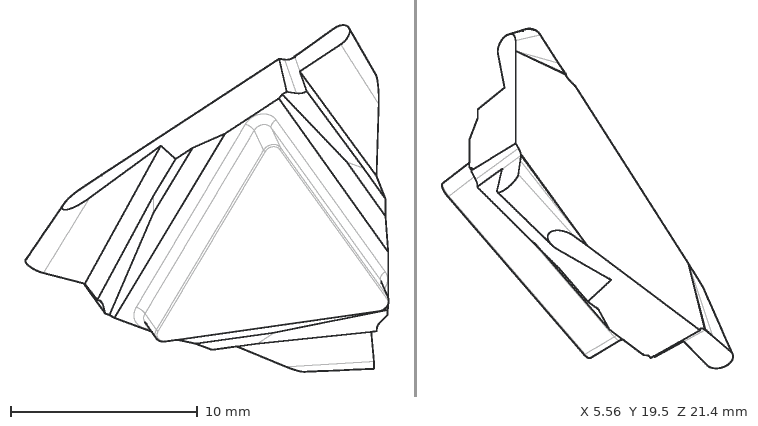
import cadquery as cq
import math


CORNER_ANGLES = (60, 180, 300)
CLOSE = 0.01
OVERSHOOT = 1.0
FAR = 20.0

INRADIUS = 7.09
BODY_THICKNESS = 3.14
CORNER_LEAN = 0.116

BOSS_INRADIUS = 4.06
BOSS_ANGLE = 90
BOSS_TOP = 5.52
BOSS_DRAFT = 2.0
BOSS_CORNER_RADIUS = 0.55
BOSS_ROOT_RADIUS = 0.43
BOSS_TOP_RADIUS = 0.09

TIP = (12.40, 0.77)
NOSE_END = (10.27, -2.29)
NOTCH_START = (9.40, 2.25)
NOTCH_MID = (9.17, 2.43)
NOTCH_END = (9.05, 2.70)
NOTCH_CORNER = (8.975, 3.03)
POCKET_START = (4.95, -5.40)

TOOTH_WIDTH = 1.355
WIDTH_ALONG_NOSE = 0.07
WIDTH_ACROSS_NOSE = 0.073
TOOTH_INNER = -5.0
TOOTH_FIRST_RUN = -6.5
TOOTH_LAST_RUN = 5.0

FLANK_START = (7.94, -3.61)
FLANK_END = (10.07, 1.91)
FLANK_SLOPE = 0.02
RIDGE_HEIGHT = 0.04

GROOVE_FLOOR = 2.59
GROOVE_FOOT_INSET = 0.80
GROOVE_EDGE_INSET = 1.75
GROOVE_RISE_START = 5.8
GROOVE_RISE = 0.157


def unit(start, end):
    """Unit vector from start to end in the (r, t) plane."""
    length = math.dist(start, end)
    return ((end[0] - start[0]) / length, (end[1] - start[1]) / length)


def along(point, direction, distance):
    """Point reached by moving a distance in a direction in the (r, t) plane."""
    return (point[0] + distance * direction[0], point[1] + distance * direction[1])


def minus(end, start):
    """Vector from start to end in the (r, t) plane."""
    return (end[0] - start[0], end[1] - start[1])


def dot(a, b):
    """Scalar product in the (r, t) plane."""
    return a[0] * b[0] + a[1] * b[1]


def outward(direction):
    """Normal of a line that runs to +t, pointing away from the axis."""
    return (direction[1], -direction[0])


def turned(shape, angle):
    """Shape turned about the insert axis."""
    return shape.rotate((0, 0, 0), (1, 0, 0), angle)


def triangle(inradius, depth):
    """Triangle with a corner on +Y, in a plane at the given depth."""
    circumdiameter = 4 * inradius
    return cq.Workplane("YZ", origin=(depth, 0, 0)).polygon(3, circumdiameter)


def leaning_prism(outline):
    """Prism through the body that leans towards the axis with depth."""
    below = cq.Vector(-OVERSHOOT, CORNER_LEAN * OVERSHOOT, 0)
    length = BODY_THICKNESS + 2 * OVERSHOOT
    sweep = cq.Vector(length, -CORNER_LEAN * length, 0)
    start = outline.wire().val().translate(below)
    return cq.Workplane(cq.Solid.extrudeLinear(start, [], sweep))


def body_with_boss():
    """Plain triangular body with the drafted, rounded boss standing on it."""
    body = turned(triangle(INRADIUS, 0).extrude(BODY_THICKNESS), CORNER_ANGLES[0])
    boss = triangle(BOSS_INRADIUS, BODY_THICKNESS).extrude(BOSS_TOP - BODY_THICKNESS, taper=BOSS_DRAFT)
    boss = boss.edges("not #X").fillet(BOSS_CORNER_RADIUS)
    boss = boss.faces(">X").edges().fillet(BOSS_TOP_RADIUS)
    body = body.union(turned(boss, BOSS_ANGLE))
    body_face = cq.selectors.BoxSelector(
        (BODY_THICKNESS - CLOSE, -FAR, -FAR), (BODY_THICKNESS + CLOSE, FAR, FAR), boundingbox=True
    )
    outer_edges = cq.selectors.LengthNthSelector(-1)
    return body.edges(body_face - outer_edges).fillet(BOSS_ROOT_RADIUS)


def notch_cutter():
    """Space beyond the tooth end face, with the hollow that leads back to the side wall."""
    face = unit(NOTCH_START, TIP)
    exit_line = unit(NOTCH_END, NOTCH_CORNER)
    outline = (
        cq.Workplane("YZ")
        .moveTo(*along(NOTCH_START, face, FAR))
        .lineTo(*NOTCH_START)
        .threePointArc(NOTCH_MID, NOTCH_END)
        .lineTo(*along(NOTCH_END, exit_line, 2 * OVERSHOOT))
        .lineTo(NOTCH_END[0], FAR)
        .close()
    )
    return leaning_prism(outline)


def pocket_cutter():
    """Space beyond the pocket wall."""
    wall = unit(POCKET_START, NOTCH_START)
    ends = (along(POCKET_START, wall, -FAR), along(POCKET_START, wall, FAR))
    outline = cq.Workplane("YZ").polyline(
        [*ends, *(along(p, outward(wall), FAR) for p in reversed(ends))]
    ).close()
    return leaning_prism(outline)


def nose_position(position):
    """Position of a point along the nose and outwards across it, from the nose end."""
    nose = unit(NOSE_END, TIP)
    offset = minus(position, NOSE_END)
    return (dot(offset, nose), dot(offset, outward(nose)))


def tooth_section(run):
    """Wire across the tooth at a length along the nose: flat flanks joined by a full round.

    The lower flank stays on X = 0 up to the flank line, then falls back by the flank slope.
    """
    nose = unit(NOSE_END, TIP)
    nose_out = outward(nose)
    base = along(NOSE_END, nose, run)

    def point(across, depth):
        return cq.Vector(depth, *along(base, nose_out, across))

    flank = unit(FLANK_START, FLANK_END)
    flank_out = outward(flank)
    start_run, start_across = nose_position(FLANK_START)
    if run < start_run:
        bend = -TOOTH_WIDTH
        flank_depth = 0
        flank_rise = 0
    else:
        bend = start_across + (run - start_run) * dot(flank, nose_out) / dot(flank, nose)
        flank_depth = FLANK_SLOPE * dot(minus(base, FLANK_START), flank_out)
        flank_rise = FLANK_SLOPE * dot(nose_out, flank_out)
    floor_depth = TOOTH_WIDTH + WIDTH_ALONG_NOSE * run

    flank_angle = math.atan(flank_rise)
    floor_angle = math.atan(WIDTH_ACROSS_NOSE)
    spread = 1 / math.cos(flank_angle) + 1 / math.cos(floor_angle) + WIDTH_ACROSS_NOSE - flank_rise
    radius = (floor_depth - flank_depth) / spread
    center_depth = flank_depth - flank_rise * radius + radius / math.cos(flank_angle)

    def round_point(angle):
        return point(radius * (math.cos(angle) - 1), center_depth + radius * math.sin(angle))

    floor_end = round_point(math.pi / 2 + floor_angle)
    crest = round_point((flank_angle + floor_angle) / 2)
    flank_end = round_point(flank_angle - math.pi / 2)
    corners = (
        floor_end,
        point(TOOTH_INNER, floor_depth + WIDTH_ACROSS_NOSE * TOOTH_INNER),
        point(TOOTH_INNER, 0),
        point(bend, 0),
        flank_end,
    )
    edges = [cq.Edge.makeLine(a, b) for a, b in zip(corners, corners[1:])]
    edges.append(cq.Edge.makeThreePointArc(flank_end, crest, floor_end))
    return cq.Wire.assembleEdges(edges)


def tooth():
    """Tooth between the side walls, still without its end face."""
    flank_start_run, _ = nose_position(FLANK_START)
    runs = (TOOTH_FIRST_RUN, flank_start_run, TOOTH_LAST_RUN)
    loft = cq.Solid.makeLoft([tooth_section(run) for run in runs], True)
    corner = triangle(INRADIUS, -OVERSHOOT).extrude(BODY_THICKNESS + OVERSHOOT)
    return cq.Workplane(loft).intersect(corner)


def ridge():
    """Low three-sided ridge on the X = 0 face, highest at the foot of the tooth end face."""
    foot, end, start = (cq.Vector(0, *p) for p in (NOTCH_START, FLANK_END, FLANK_START))
    peak = foot + cq.Vector(-RIDGE_HEIGHT, 0, 0)
    triples = ((foot, end, start), (foot, end, peak), (end, start, peak), (start, foot, peak))
    faces = [cq.Face.makeFromWires(cq.Wire.makePolygon(list(c), close=True)) for c in triples]
    return cq.Workplane(cq.Solid.makeSolid(cq.Shell.makeShell(faces)))


def groove_cutter():
    """Groove along the pocket wall whose floor climbs towards the corner."""
    wall = unit(POCKET_START, NOTCH_START)
    r, t = POCKET_START
    plane = cq.Plane(origin=(0, r, t), xDir=(0, *outward(wall)), normal=(0, -wall[0], -wall[1]))
    groove = (
        cq.Workplane(plane)
        .moveTo(FAR, GROOVE_FLOOR)
        .lineTo(-GROOVE_FOOT_INSET, GROOVE_FLOOR)
        .lineTo(-GROOVE_EDGE_INSET, BODY_THICKNESS)
        .lineTo(FAR, BODY_THICKNESS)
        .close()
        .extrude(FAR, both=True)
    )
    climb = (
        cq.Workplane("XY", origin=(GROOVE_FLOOR, GROOVE_RISE_START, 0))
        .polyline([(0, 0), (GROOVE_RISE * FAR, FAR), (-OVERSHOOT, FAR), (-OVERSHOOT, 0)])
        .close()
        .extrude(FAR, both=True)
    )
    return groove.cut(climb)


result = body_with_boss()
for angle in CORNER_ANGLES:
    result = result.cut(turned(pocket_cutter(), angle)).cut(turned(groove_cutter(), angle))
for angle in CORNER_ANGLES:
    result = result.union(turned(tooth(), angle))
for angle in CORNER_ANGLES:
    result = result.cut(turned(notch_cutter(), angle))
    result = result.union(turned(ridge(), angle))